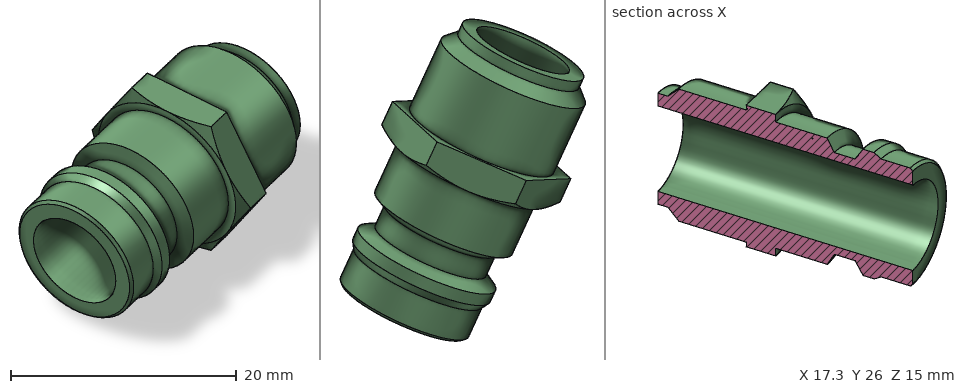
import cadquery as cq
import math

length = 26.0
bore_radius = 4.5

nose_radius = 6.27
nose_chamfer = 0.25
collar_radius = 6.7
groove_radius = 5.4
nose_end = 3.22
collar_start = 3.95
collar_end = 5.1
groove_start = 5.9
groove_end = 8.0
shank_start = 8.74

hex_across_flats = 15.0
hex_start = 14.0
hex_end = 17.0
hex_chamfer_angle = 30.0

thread_radius = 7.02
tip_radius = 5.9
tip_length = 1.01
thread_cone_length = 1.12


def turned_body():
    """Revolve the stepped outer profile, including the bore, about Y."""
    tip_start = length - tip_length
    thread_end = tip_start - thread_cone_length
    profile = [
        (bore_radius, 0),
        (nose_radius - nose_chamfer, 0),
        (nose_radius, nose_chamfer),
        (nose_radius, nose_end),
        (collar_radius, collar_start),
        (collar_radius, collar_end),
        (groove_radius, groove_start),
        (groove_radius, groove_end),
        (collar_radius, shank_start),
        (collar_radius, hex_end),
        (thread_radius, hex_end),
        (thread_radius, thread_end),
        (tip_radius, tip_start),
        (tip_radius, length),
        (bore_radius, length),
    ]
    return cq.Workplane("XY").polyline(profile).close().revolve(360, (0, 0, 0), (0, 1, 0))


def hex_flange():
    """Hexagonal ring whose plug-side corners are trimmed by a cone."""
    corner_radius = hex_across_flats / 2 / math.cos(math.radians(30))
    flat_radius = hex_across_flats / 2
    corner_drop = (corner_radius - flat_radius) * math.tan(math.radians(hex_chamfer_angle))
    prism = (
        cq.Workplane("XZ", origin=(0, hex_end, 0))
        .polygon(6, 2 * corner_radius)
        .extrude(hex_end - hex_start)
    )
    envelope_profile = [
        (bore_radius, hex_start),
        (flat_radius, hex_start),
        (corner_radius, hex_start + corner_drop),
        (corner_radius, hex_end),
        (bore_radius, hex_end),
    ]
    envelope = (
        cq.Workplane("XY").polyline(envelope_profile).close().revolve(360, (0, 0, 0), (0, 1, 0))
    )
    return prism.intersect(envelope)


result = turned_body().union(hex_flange())